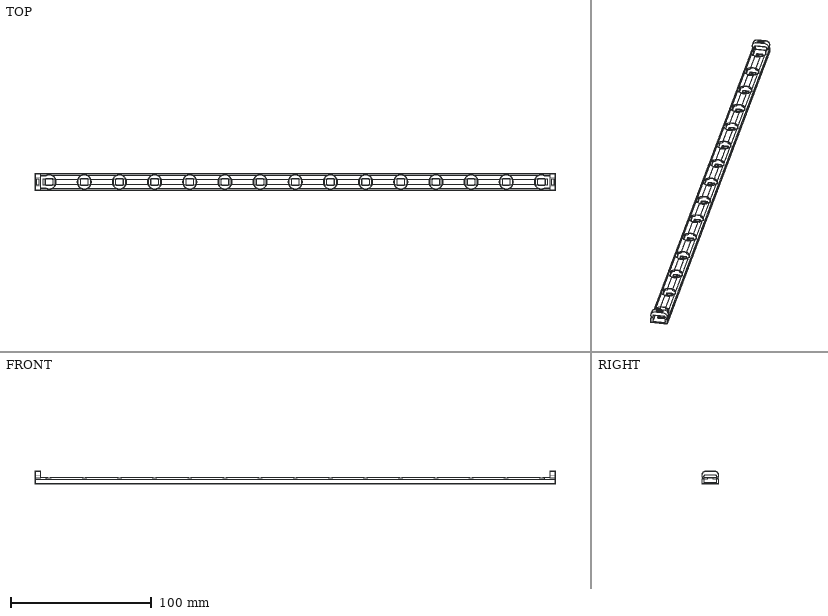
import cadquery as cq

rail_length = 370.0
rail_width = 12.0
rail_height = 4.5
rail_chamfer = 1.3

channel_width = 8.6
channel_floor = 1.0
channel_ceiling = 3.3
groove_width = 3.8
groove_top = 4.15

hole_count = 15
hole_pitch = 25.0
bore_diameter = 10.0
window_length = 5.25
window_width = 4.5
seat_length = 8.7
seat_depth = 0.5
corner_radius = 0.6

part_height = 9.0
lug_length = 4.0
lug_height = 6.0
lug_blend = 0.001
lug_radius = lug_height / 2 - lug_blend
slot_width = 9.0
slot_height = 2.0
slot_center_z = 5.2
gap_width = 8.8
pocket_length = 1.9
pocket_width = 4.3
pocket_depth = 0.6

end_margin = (rail_length - (hole_count - 1) * hole_pitch) / 2
hole_centers = [(end_margin + i * hole_pitch, 0) for i in range(hole_count)]


def block(start_x, length, width, bottom, top):
    """Box centred on the X axis, from start_x along +X and from bottom to top in Z."""
    base = cq.Workplane("XY", origin=(start_x, 0, bottom))
    return base.box(length, width, top - bottom, centered=(False, True, False))


def rounded_windows(length, bottom, top):
    """Rectangular cutters with rounded corners, one at every hole centre."""
    outline = cq.Workplane("XY", origin=(0, 0, bottom)).pushPoints(hole_centers)
    cutters = outline.rect(length, window_width).extrude(top - bottom)
    return cutters.edges("|Z").fillet(corner_radius)


def make_rail():
    """Chamfered bar before any cutting."""
    bar = block(0, rail_length, rail_width, 0, rail_height)
    return bar.faces(">Z").edges("|X").chamfer(rail_chamfer)


def make_lug(start_x):
    """Stadium-shaped lug with a shallow pocket in its top."""
    lug = block(start_x, lug_length, rail_width, part_height - lug_height, part_height)
    lug = lug.edges("|X").fillet(lug_radius)
    pocket_x = start_x + (lug_length - pocket_length) / 2
    pocket = block(pocket_x, pocket_length, pocket_width, part_height - pocket_depth, part_height)
    return lug.cut(pocket)


def cut_channel(body):
    """Full-length channel and the groove along the middle of its ceiling."""
    channel = block(0, rail_length, channel_width, channel_floor, channel_ceiling)
    groove = block(0, rail_length, groove_width, channel_floor, groove_top)
    return body.cut(channel).cut(groove)


def cut_openings(body):
    """Round bores in the top skin, with a seat and a window in the channel floor below each."""
    bores = cq.Workplane("XY", origin=(0, 0, channel_floor)).pushPoints(hole_centers)
    body = body.cut(bores.circle(bore_diameter / 2).extrude(rail_height - channel_floor))
    body = body.cut(rounded_windows(seat_length, channel_floor - seat_depth, channel_floor))
    return body.cut(rounded_windows(window_length, 0, channel_floor))


def cut_end(body, lug_x, gap_x):
    """Slot through a lug and the gap that opens the top skin from the lug to the nearest bore."""
    gap = block(gap_x, end_margin, gap_width, channel_floor, slot_center_z)
    slot_plane = cq.Workplane("YZ", origin=(lug_x, 0, slot_center_z))
    slot = slot_plane.slot2D(slot_width, slot_height).extrude(lug_length)
    return body.cut(gap).cut(slot)


far_lug_x = rail_length - lug_length
far_gap_x = rail_length - end_margin

body = make_rail().union(make_lug(0)).union(make_lug(far_lug_x))
body = cut_channel(body)
body = cut_openings(body)
body = cut_end(body, 0, 0)
result = cut_end(body, far_lug_x, far_gap_x)